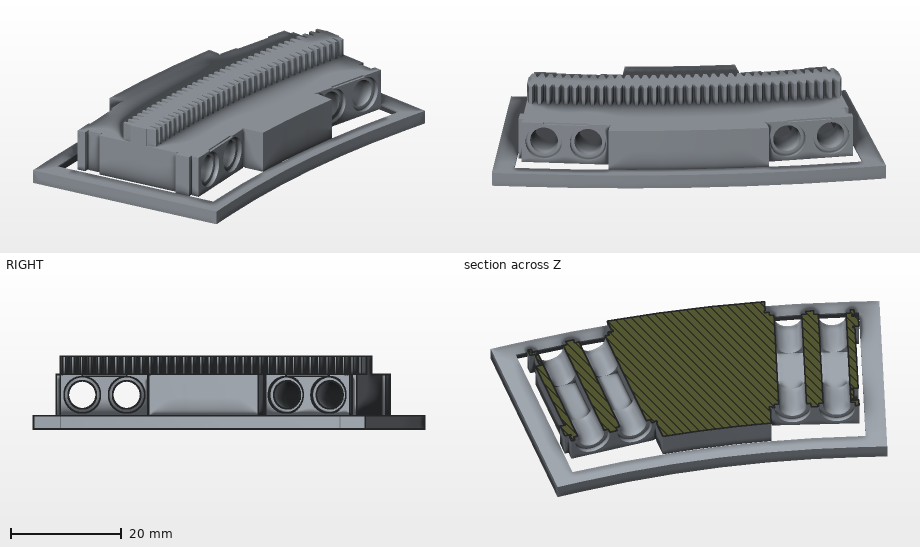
import cadquery as cq
import math

path_radius = 200.05
turn_angle = 16.2

frame_width = 38.4
frame_height = 2.5
frame_extension = 4.8
opening_width = 32.6
opening_extension = 1.0
lip_height = 0.3
skirt_thickness = 1.5

body_bottom = 2.25
body_top = 9.9
body_width = 32.05
end_width = 25.35
end_length = 16.0

hole_diameter = 5.0
counterbore_diameter = 6.6
counterbore_depth = 0.85
hole_depth = 8.0
hole_pitch = end_length / 2
hole_height = 6.2
rim_notch_depth = 0.4
rim_notch_height = 0.3

coupling_offset = 9.6
tab_width = 2.8
tab_length = 0.7
notch_width = 3.0
notch_depth = 0.85
relief_width = 0.2
relief_depth = 0.4

rack_top = 13.2
tooth_count = 36
rack_width = 6.8
tooth_height = 1.8
tip_land = 0.53
root_land = 0.25


def path_point(angle, offset, extension=0.0):
    """Point beside the path: `offset` to the right of it, `extension` along its tangent."""
    turn = math.radians(angle)
    x = path_radius - (path_radius - offset) * math.cos(turn) + extension * math.sin(turn)
    y = (path_radius - offset) * math.sin(turn) + extension * math.cos(turn)
    return (x, y)


def at_path_end(shape):
    """Move a shape made for the start of the path to the far end, outward side still outward."""
    mid_angle = math.radians(turn_angle / 2)
    mirror_normal = (math.sin(mid_angle), math.cos(mid_angle))
    return shape.mirror(cq.Vector(*mirror_normal, 0), (path_radius, 0, 0))


def curved_strip(width, extension, bottom, top):
    """Bent bar of constant width with a straight run of `extension` at both ends."""
    half = width / 2
    strip = cq.Workplane("XY").workplane(offset=bottom).moveTo(*path_point(0, -half, -extension))
    if extension:
        strip = strip.lineTo(*path_point(0, -half))
    strip = strip.threePointArc(path_point(turn_angle / 2, -half), path_point(turn_angle, -half))
    if extension:
        strip = strip.lineTo(*path_point(turn_angle, -half, extension))
    strip = strip.lineTo(*path_point(turn_angle, half, extension))
    if extension:
        strip = strip.lineTo(*path_point(turn_angle, half))
    strip = strip.threePointArc(path_point(turn_angle / 2, half), path_point(0, half))
    if extension:
        strip = strip.lineTo(*path_point(0, half, -extension))
    return strip.close().extrude(top - bottom)


def block(x_range, y_range, z_range=(body_bottom, body_top)):
    """Upright box between the given limits."""
    sizes = [high - low for low, high in (x_range, y_range, z_range)]
    corner = (x_range[0], y_range[0], z_range[0])
    return cq.Workplane("XY").box(*sizes, centered=False).translate(corner)


def side_pocket(side):
    """Cut that narrows the body beside one end, with a small relief in the inner corner."""
    wall = end_width / 2
    pocket = block((wall, body_width), (-end_length, end_length))
    relief_bottom = end_length - relief_width
    relief_top = end_length + relief_width
    pocket = pocket.union(block((wall - relief_width, wall + relief_width), (relief_bottom, relief_top)))
    return pocket if side > 0 else pocket.mirror("YZ")


def cross_cylinder(diameter, distance, start, end):
    """Cylinder along X at pin hole height, from x = start to x = end."""
    plane = cq.Workplane("YZ", origin=(start, distance, hole_height))
    return plane.circle(diameter / 2).extrude(end - start)


def pin_hole(distance):
    """Passage across the narrow end: counterbored round holes joined by a tunnel with a square lower half."""
    wall = end_width / 2
    tunnel_end = wall - hole_depth
    seat = wall - counterbore_depth
    radius = hole_diameter / 2
    passage = cross_cylinder(hole_diameter, distance, -wall, wall)
    tunnel_sides = (distance - radius, distance + radius)
    passage = passage.union(block((-tunnel_end, tunnel_end), tunnel_sides, (hole_height - radius, hole_height)))
    for side in (-1, 1):
        passage = passage.union(cross_cylinder(counterbore_diameter, distance, side * seat, side * wall))
    return passage


def end_cuts():
    """Everything cut from both sides of the start end: pockets, pin holes and rim notches."""
    near_hole, far_hole = hole_pitch / 2, hole_pitch * 3 / 2
    cuts = pin_hole(near_hole).union(pin_hole(far_hole))
    wall = end_width / 2
    for side in (-1, 1):
        x_range = sorted((side * wall, side * (wall - rim_notch_depth)))
        notch = block(x_range, (near_hole, far_hole), (body_top - rim_notch_height, body_top))
        cuts = cuts.union(side_pocket(side)).union(notch)
    return cuts


def coupling_notch(side):
    """Notch in the start face whose floor is grooved along both walls."""
    center = side * coupling_offset
    left, right = center - notch_width / 2, center + notch_width / 2
    groove_depth = notch_depth + relief_depth
    notch = block((left, right), (0, notch_depth))
    notch = notch.union(block((left, left + relief_width), (0, groove_depth)))
    return notch.union(block((right - relief_width, right), (0, groove_depth)))


def coupling_tab(side):
    """Tab that stands out of the start face."""
    center = side * coupling_offset
    return block((center - tab_width / 2, center + tab_width / 2), (-tab_length, relief_depth))


def tab_reliefs(side):
    """Narrow slots in the start face along both sides of the tab."""
    center = side * coupling_offset
    half = tab_width / 2
    left = block((center - half - relief_width, center - half), (0, relief_depth))
    right = block((center + half, center + half + relief_width), (0, relief_depth))
    return left.union(right)


def rack():
    """Strip along the path with trapezoidal teeth on both edges and a root at each end."""
    pitch_angle = turn_angle / tooth_count
    tip = rack_width / 2
    root = tip - tooth_height
    mean_pitch = path_radius * math.radians(pitch_angle)
    root_angle = root_land / 2 / mean_pitch * pitch_angle
    tip_angle = tip_land / 2 / mean_pitch * pitch_angle

    def toothed_edge(side):
        points = [path_point(0, side * root)]
        for tooth in range(tooth_count):
            start = tooth * pitch_angle
            middle = start + pitch_angle / 2
            points.append(path_point(start + root_angle, side * root))
            points.append(path_point(middle - tip_angle, side * tip))
            points.append(path_point(middle + tip_angle, side * tip))
            points.append(path_point(start + pitch_angle - root_angle, side * root))
        points.append(path_point(turn_angle, side * root))
        return points

    outline = toothed_edge(-1) + toothed_edge(1)[::-1]
    return cq.Workplane("XY").workplane(offset=body_top).polyline(outline).close().extrude(rack_top - body_top)


def base_frame():
    """Ring with a thin lip around its opening and a skirt below the lip's outer edge."""
    ring = curved_strip(frame_width, frame_extension, 0, frame_height)
    opening = curved_strip(opening_width, opening_extension, 0, frame_height)
    undercut_width = frame_width - 2 * skirt_thickness
    undercut_extension = frame_extension - skirt_thickness
    undercut = curved_strip(undercut_width, undercut_extension, 0, frame_height - lip_height)
    return ring.cut(opening).cut(undercut)


def track_body():
    """Curved body with its end details and the rack on top."""
    body = curved_strip(body_width, 0, body_bottom, body_top)
    start_cuts = end_cuts().union(coupling_notch(-1)).union(tab_reliefs(1))
    far_cuts = at_path_end(end_cuts().union(coupling_notch(1)).union(tab_reliefs(-1)))
    body = body.cut(start_cuts).cut(far_cuts)
    body = body.union(coupling_tab(1)).union(at_path_end(coupling_tab(-1)))
    return body.union(rack())


frame = base_frame()
track = track_body()

result = cq.Compound.makeCompound([frame.val(), track.val()])